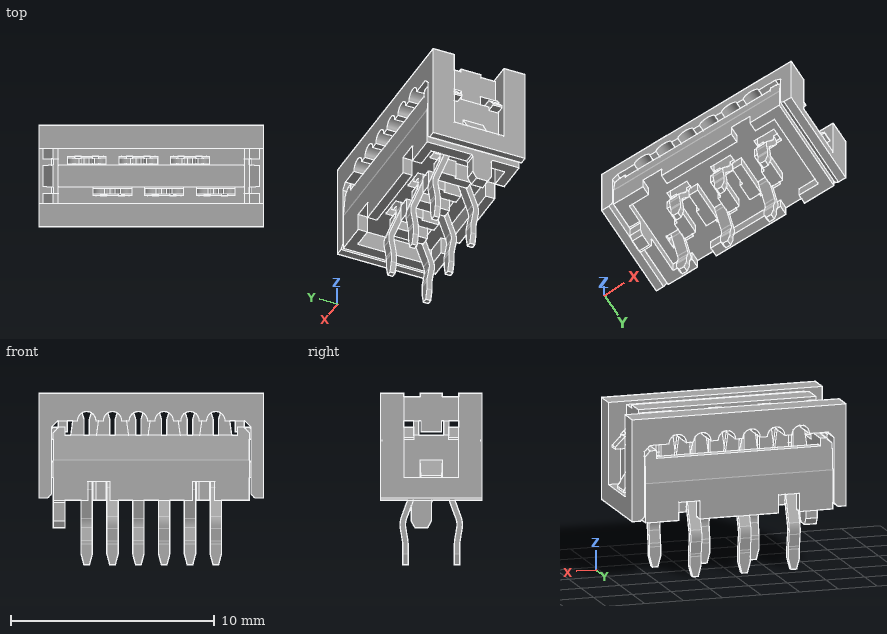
import cadquery as cq
import math


contact_count = 6
pitch = 1.27
first_contact_x = -(contact_count - 1) / 2 * pitch
blade_y = 0.745
contact_thickness = 0.28

cover_length = 11.05
cover_width = 5.0
cover_bottom = 0.11
cover_top = 5.27
overall_height = 8.45
leg_inner_x = 4.9
leg_chamfer = 0.2
arch_top = 3.91
arch_chamfer = 0.3
channel_half_width = 1.345
channel_sill = 1.12
core_half_length = 4.58
core_top = 5.1
spine_half_width = 0.545
tab_half_width = 0.51
tab_length = 0.45
tab_bottom = 3.36
groove_radius = 0.45

slot_length = 1.91
slot_inner_y = spine_half_width
slot_outer_y = 0.965

housing_half_length = 4.83
housing_half_width = cover_width / 2
shoulder_z = 1.99
wall_top = 3.21
wall_lean = 0.1
post_top = 3.6
post_inner_x = 4.23
post_inner_y = 0.85
post_chamfer = 0.28
cavity_half_width = 2.0
trough_floor = 2.4
recess_ceiling = 0.92
slot_floor = 1.3
pin_hole_length = 1.16
pin_hole_inner_y = blade_y - contact_thickness / 2
pin_hole_outer_y = 1.3
notch_x = 2.575
notch_length = 1.08
latch_reach = 0.5
latch_lip = 0.1
lower_latch_top = 1.98
lower_latch_top_width = 1.1
lower_latch_bottom_width = 1.02
rib_length = 0.65
rib_step = 0.14
rib_half_depth = 0.9

peg_width = 1.01
peg_center_y = -0.49
peg_depth = 1.36
peg_tip_width = 0.62
peg_tip_height = 0.35
peg_flare = 0.06
peg_flare_height = 0.1

pin_half_width = 0.285
pin_bottom = cover_top - overall_height
pin_tip_half_width = 0.14
pin_taper_top = -2.63
pin_foot_y = 1.27
blade_half_width = 0.95
blade_shoulder_z = 2.05
neck_z = 4.1
neck_half_width = 0.665
barb_z = 4.35
head_middle = (0.62, 4.75)
head_inner = (0.39, 4.66)
lead_in_top = (0.265, 4.45)
slit_half_width = 0.125
slit_bottom = 2.5
lead_in_bottom_z = 3.98
upper_bend = (blade_y, 0.75)
outer_bend = (1.43, -1.1)
lower_bend = (pin_foot_y, -2.07)
bend_radius = 1.0
strip_top = core_top


def box(x_min, x_max, y_min, y_max, z_min, z_max):
    size = (x_max - x_min, y_max - y_min, z_max - z_min)
    return cq.Workplane("XY").box(*size, centered=False).translate((x_min, y_min, z_min))


def both_ends(half):
    """Join a feature at the -X end with its mirror image at the +X end."""
    return half.union(half.mirror("YZ"))


def contact_x(index):
    return first_contact_x + index * pitch


def row_side(index):
    """Side of the centre plane of a contact: +1 towards +Y, -1 towards -Y."""
    return 1 if index % 2 == 0 else -1


def row_box(index, length, y_inner, y_outer, z_min, z_max):
    """Box centred on one contact, at the given distances from the centre plane."""
    x = contact_x(index)
    y_min, y_max = sorted((row_side(index) * y_inner, row_side(index) * y_outer))
    return box(x - length / 2, x + length / 2, y_min, y_max, z_min, z_max)


def make_cover():
    half_length = cover_length / 2
    half_width = cover_width / 2
    arch_half_top = leg_inner_x - arch_chamfer
    outline = (
        cq.Workplane("XZ", origin=(0, half_width, 0))
        .moveTo(-half_length, cover_bottom)
        .lineTo(-half_length, cover_top)
        .lineTo(half_length, cover_top)
        .lineTo(half_length, cover_bottom)
        .lineTo(leg_inner_x + leg_chamfer, cover_bottom)
        .lineTo(leg_inner_x, cover_bottom + leg_chamfer)
        .lineTo(leg_inner_x, arch_top - arch_chamfer)
        .lineTo(arch_half_top, arch_top)
        .lineTo(-arch_half_top, arch_top)
        .lineTo(-leg_inner_x, arch_top - arch_chamfer)
        .lineTo(-leg_inner_x, cover_bottom + leg_chamfer)
        .lineTo(-leg_inner_x - leg_chamfer, cover_bottom)
        .close()
    )
    cover = outline.extrude(cover_width)

    cover = cover.cut(box(-half_length, half_length, -channel_half_width, channel_half_width,
                          channel_sill, cover_top))
    cover = cover.union(box(-core_half_length, core_half_length, -channel_half_width, channel_half_width,
                            arch_top, core_top))
    cover = cover.union(box(-core_half_length, core_half_length, -spine_half_width, spine_half_width,
                            arch_top, cover_top))
    tab = box(-core_half_length, -core_half_length + tab_length, -tab_half_width, tab_half_width,
              tab_bottom, arch_top)
    cover = cover.union(both_ends(tab))

    for index in range(contact_count):
        wire_groove = (
            cq.Workplane("XZ", origin=(contact_x(index), half_width, arch_top))
            .circle(groove_radius)
            .extrude(cover_width)
        )
        cover = cover.cut(wire_groove)
        cover = cover.cut(row_box(index, slot_length, slot_inner_y, slot_outer_y, arch_top, core_top))
    return cover


def make_housing_block():
    """Body with leaning upper side walls, raised end posts and an open trough on top."""
    lean_per_height = wall_lean / (wall_top - shoulder_z)
    top_half_width = housing_half_width - lean_per_height * (post_top - shoulder_z)
    section = (
        cq.Workplane("YZ", origin=(-housing_half_length, 0, 0))
        .moveTo(-housing_half_width, 0)
        .lineTo(housing_half_width, 0)
        .lineTo(housing_half_width, shoulder_z)
        .lineTo(top_half_width, post_top)
        .lineTo(-top_half_width, post_top)
        .lineTo(-housing_half_width, shoulder_z)
        .close()
    )
    block = section.extrude(2 * housing_half_length)
    block = block.edges("|Y and >Z").chamfer(post_chamfer)

    block = block.cut(box(-post_inner_x, post_inner_x, -housing_half_width, housing_half_width,
                          wall_top, post_top))
    block = block.cut(box(-housing_half_length, housing_half_length, -post_inner_y, post_inner_y,
                          wall_top, post_top))
    block = block.cut(box(-post_inner_x, post_inner_x, -cavity_half_width, cavity_half_width,
                          trough_floor, wall_top))
    return block


def make_latches():
    """Two upper latches on the posts and one wedge below them, at each end."""
    outer_x = -housing_half_length - latch_reach
    upper = (
        cq.Workplane("XZ", origin=(0, channel_half_width, 0))
        .moveTo(-post_inner_x, post_top)
        .lineTo(-housing_half_length, post_top)
        .lineTo(outer_x, post_top - latch_reach)
        .lineTo(outer_x, post_top - latch_reach - latch_lip)
        .lineTo(-post_inner_x, post_top - latch_reach - latch_lip)
        .close()
        .extrude(channel_half_width - post_inner_y)
    )
    side_profile = (
        cq.Workplane("XZ", origin=(0, lower_latch_top_width / 2, 0))
        .moveTo(-housing_half_length, channel_sill)
        .lineTo(-housing_half_length, lower_latch_top)
        .lineTo(outer_x, channel_sill + latch_lip)
        .lineTo(outer_x, channel_sill)
        .close()
        .extrude(lower_latch_top_width)
    )
    tapered_plan = (
        cq.Workplane("XY", origin=(0, 0, channel_sill))
        .moveTo(-housing_half_length, -lower_latch_top_width / 2)
        .lineTo(-housing_half_length, lower_latch_top_width / 2)
        .lineTo(outer_x, lower_latch_bottom_width / 2)
        .lineTo(outer_x, -lower_latch_bottom_width / 2)
        .close()
        .extrude(lower_latch_top - channel_sill)
    )
    lower = side_profile.intersect(tapered_plan)
    return both_ends(upper.union(upper.mirror("XZ")).union(lower))


def make_peg():
    half = peg_width / 2
    return (
        cq.Workplane("YZ", origin=(-housing_half_length, peg_center_y, 0))
        .moveTo(-half - peg_flare, 0)
        .lineTo(-half, -peg_flare_height)
        .lineTo(-half, peg_tip_height - peg_depth)
        .lineTo(-peg_tip_width / 2, -peg_depth)
        .lineTo(peg_tip_width / 2, -peg_depth)
        .lineTo(half, peg_tip_height - peg_depth)
        .lineTo(half, -peg_flare_height)
        .lineTo(half + peg_flare, 0)
        .close()
        .extrude(housing_half_length - post_inner_x)
    )


def make_housing():
    housing = make_housing_block().union(make_latches()).union(make_peg())

    housing = housing.cut(box(-post_inner_x, post_inner_x, -cavity_half_width, cavity_half_width,
                              0, recess_ceiling))
    for x in (-notch_x, notch_x):
        housing = housing.cut(box(x - notch_length / 2, x + notch_length / 2,
                                  -housing_half_width, housing_half_width, 0, recess_ceiling))

    for index in range(contact_count - 1):
        rib_start = contact_x(index) + (pitch - rib_length) / 2
        rib_end = rib_start + rib_length
        housing = housing.union(box(rib_start, rib_end, 0, rib_half_depth, 0, recess_ceiling))
        housing = housing.union(box(rib_start + rib_step, rib_end, -rib_half_depth, 0, 0, recess_ceiling))

    for index in range(contact_count):
        housing = housing.cut(row_box(index, slot_length, slot_inner_y, slot_outer_y,
                                      slot_floor, trough_floor))
        housing = housing.cut(row_box(index, pin_hole_length, pin_hole_inner_y, pin_hole_outer_y,
                                      recess_ceiling, trough_floor))
    return housing


def make_bent_strip():
    """Flat strip, as wide as the blade, along the bent centre line of a contact in the +Y row."""
    center_points = [(blade_y, strip_top), upper_bend, outer_bend, lower_bend, (pin_foot_y, pin_bottom)]
    center_line = cq.Wire.makePolygon([cq.Vector(0, y, z) for y, z in center_points]).fillet(bend_radius)
    return (
        cq.Workplane("XY", origin=(0, blade_y, strip_top))
        .rect(2 * blade_half_width, contact_thickness)
        .sweep(cq.Workplane(center_line))
    )


def make_contact_outline():
    """Front outline of a contact: forked blade with rounded, barbed prongs above, pointed pin below."""
    depth = cover_width
    slit_arc_offset = slit_half_width * math.sqrt(0.5)
    right_half = (
        cq.Workplane("XZ", origin=(0, depth / 2, 0))
        .moveTo(0, pin_bottom)
        .lineTo(pin_tip_half_width, pin_bottom)
        .lineTo(pin_half_width, pin_taper_top)
        .lineTo(pin_half_width, slot_floor)
        .lineTo(blade_half_width, slot_floor)
        .lineTo(blade_half_width, blade_shoulder_z)
        .lineTo(neck_half_width, neck_z)
        .lineTo(blade_half_width, barb_z)
        .threePointArc(head_middle, head_inner)
        .lineTo(*lead_in_top)
        .lineTo(slit_half_width, lead_in_bottom_z)
        .lineTo(slit_half_width, slit_bottom)
        .threePointArc((slit_arc_offset, slit_bottom - slit_arc_offset),
                       (0, slit_bottom - slit_half_width))
        .close()
        .extrude(depth)
    )
    return right_half.union(right_half.mirror("YZ"))


def make_contact(index):
    contact = make_bent_strip().intersect(make_contact_outline())
    if row_side(index) < 0:
        contact = contact.mirror("XZ")
    return contact.translate((contact_x(index), 0, 0))


cover = make_cover()
housing = make_housing()
contacts = [make_contact(index) for index in range(contact_count)]

result = cq.Compound.makeCompound([
    cover.val(),
    housing.val(),
    *[contact.val() for contact in contacts],
])